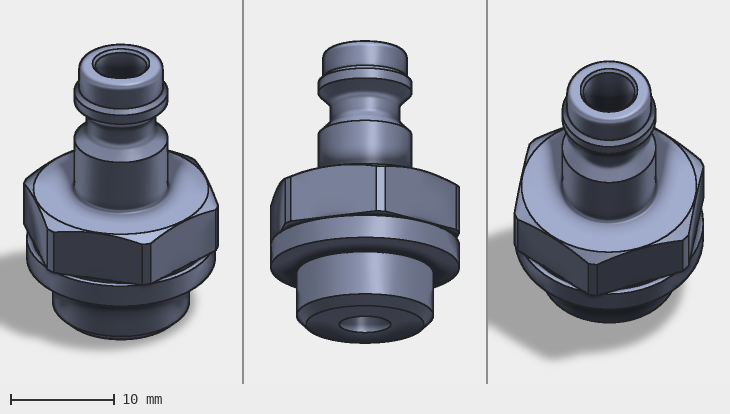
import cadquery as cq
import math

total_height = 27.6
thread_top = 5.2
flange_bottom = 5.8
flange_top = 8.05
hex_bottom = 8.35
hex_top = 13.5
stem_top = 19.2
lip_bottom = 23.5
lip_top = 24.5

bore_diameter = 4.95
tip_diameter = 8.1
neck_diameter = 6.65
cone_angle = math.radians(45)
stem_diameter = 9.0
thread_diameter = 13.16
flange_diameter = 18.15
undercut_diameter = 9.6

hex_sides = 6
hex_across_flats = 17.0
hex_across_corners = 19.15
hex_top_land_diameter = 16.85
hex_chamfer_drop = 0.6

tip_fillet = 0.65
neck_fillet = 1.0
stem_base_fillet = 0.5
thread_chamfer = 0.9
undercut_radius = 1.1
bore_chamfer = 0.27


def turned_body():
    """Revolve the outer profile of everything except the hexagon."""
    tip_r = tip_diameter / 2
    neck_r = neck_diameter / 2
    stem_r = stem_diameter / 2
    thread_r = thread_diameter / 2
    flange_r = flange_diameter / 2
    collar_r = hex_across_flats / 2
    undercut_r = undercut_diameter / 2

    undercut_rise = flange_bottom - thread_top
    undercut_run = math.sqrt(undercut_radius**2 - (undercut_radius - undercut_rise) ** 2)

    fillet_height = neck_fillet * math.sin(cone_angle)
    fillet_depth = neck_fillet - neck_fillet * math.cos(cone_angle)
    cone_inner_r = neck_r + fillet_depth
    cone_height = (stem_r - cone_inner_r) / math.tan(cone_angle)
    lower_cone_end = stem_top + cone_height
    upper_cone_end = lip_bottom - cone_height

    profile = (
        cq.Workplane("XZ")
        .moveTo(0, 0)
        .lineTo(thread_r - thread_chamfer, 0)
        .lineTo(thread_r, thread_chamfer)
        .lineTo(thread_r, thread_top)
        .lineTo(undercut_r + undercut_run, thread_top)
        .radiusArc((undercut_r, flange_bottom), undercut_radius)
        .lineTo(flange_r, flange_bottom)
        .lineTo(flange_r, flange_top)
        .lineTo(collar_r, flange_top)
        .lineTo(collar_r, hex_bottom)
        .lineTo(stem_r + stem_base_fillet, hex_bottom)
        .lineTo(stem_r + stem_base_fillet, hex_top)
        .radiusArc((stem_r, hex_top + stem_base_fillet), stem_base_fillet)
        .lineTo(stem_r, stem_top)
        .lineTo(cone_inner_r, lower_cone_end)
        .radiusArc((neck_r, lower_cone_end + fillet_height), neck_fillet)
        .lineTo(neck_r, upper_cone_end - fillet_height)
        .radiusArc((cone_inner_r, upper_cone_end), neck_fillet)
        .lineTo(stem_r, lip_bottom)
        .lineTo(stem_r, lip_top)
        .lineTo(tip_r, lip_top + stem_r - tip_r)
        .lineTo(tip_r, total_height - tip_fillet)
        .radiusArc((tip_r - tip_fillet, total_height), -tip_fillet)
        .lineTo(0, total_height)
        .close()
    )
    return profile.revolve(360, (0, 0), (0, 1))


def hexagon():
    """Hexagon with flats on +X and -X, turned corners and a chamfered top."""
    sharp_corner_diameter = hex_across_flats / math.cos(math.pi / hex_sides)
    height = hex_top - hex_bottom
    prism = (
        cq.Workplane("XY", origin=(0, 0, hex_bottom))
        .polygon(hex_sides, sharp_corner_diameter)
        .extrude(height)
        .rotate((0, 0, 0), (0, 0, 1), 180 / hex_sides)
    )
    corner_r = hex_across_corners / 2
    envelope = (
        cq.Workplane("XZ")
        .moveTo(0, hex_bottom)
        .lineTo(corner_r, hex_bottom)
        .lineTo(corner_r, hex_top - hex_chamfer_drop)
        .lineTo(hex_top_land_diameter / 2, hex_top)
        .lineTo(0, hex_top)
        .close()
        .revolve(360, (0, 0), (0, 1))
    )
    return prism.intersect(envelope)


def bore():
    """Through bore with a chamfered mouth at the tip."""
    bore_r = bore_diameter / 2
    return (
        cq.Workplane("XZ")
        .moveTo(0, 0)
        .lineTo(bore_r, 0)
        .lineTo(bore_r, total_height - bore_chamfer)
        .lineTo(bore_r + bore_chamfer, total_height)
        .lineTo(0, total_height)
        .close()
        .revolve(360, (0, 0), (0, 1))
    )


result = turned_body().union(hexagon()).cut(bore())